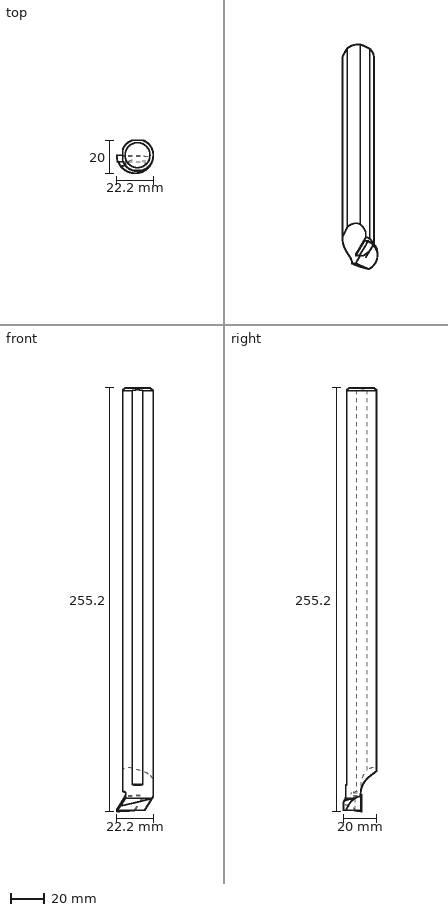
import cadquery as cq
import math


length = 255.2
width = 22.2

shank_diameter = 19.1
flat_depth = 0.54
chamfer_width = 2.0
chamfer_height = 1.5
front_flat_end = 16.3

insert_angle = 55.0
end_angle = 3.0
relief_angle = 7.0
inscribed_diameter = 9.5
insert_thickness = 4.0
nose_radius = 0.8

head_bottom = 0.8
neck_top = 11.5
flare_top = 8.0
neck_flare = 0.15
flare_angle = 28.0
clearance_diameter = 22.0
heel_top = 9.2

floor_depth = 0.5
gullet_radius = 11.5
gullet_centre_height = 13.5
gullet_tilt = 17.0

notch_x = -7.1
notch_inner_top = 11.5
notch_outer_top = 12.3

margin = 25.5

shank_radius = shank_diameter / 2
flat_distance = shank_radius - flat_depth
clearance_radius = clearance_diameter / 2

nose_reach = width - shank_radius

flare_top_radius = shank_radius + neck_flare

lead_angle = end_angle + insert_angle
insert_side = inscribed_diameter / math.sin(math.radians(insert_angle))


def direction(angle):
    """Unit vector (x, z) at an angle above the +X axis."""
    return math.cos(math.radians(angle)), math.sin(math.radians(angle))


def along(start, angle, distance):
    """Point (x, z) reached from a start point."""
    dx, dz = direction(angle)
    return start[0] + distance * dx, start[1] + distance * dz


nose_centre = (nose_radius - nose_reach, nose_radius)
corner_setback = nose_radius / math.sin(math.radians(insert_angle / 2))
insert_corner = along(nose_centre, end_angle + insert_angle / 2, -corner_setback)


def rounded_rhombus():
    """Rhombus through the centres of the corner rounds, grown by the nose radius."""
    inner_inset = 2 * nose_radius / math.sin(math.radians(insert_angle))
    inner_side = insert_side - inner_inset
    toe = along(nose_centre, end_angle, inner_side)
    far = along(toe, lead_angle, inner_side)
    heel = along(nose_centre, lead_angle, inner_side)
    return cq.Workplane("XZ").polyline([nose_centre, toe, far, heel]).close().offset2D(nose_radius)


def make_insert():
    """Rhombus with rounded corners, its rake face on Y = 0, narrowing toward -Y."""
    return rounded_rhombus().extrude(insert_thickness, taper=relief_angle)


def bar_blank():
    """Revolved shank with a chamfered top and a head flaring out below it."""
    flare_slope = math.tan(math.radians(flare_angle))
    head_radius = flare_top_radius + (flare_top - head_bottom) * flare_slope
    return (
        cq.Workplane("XZ")
        .moveTo(0, head_bottom)
        .lineTo(0, length)
        .lineTo(shank_radius - chamfer_width, length)
        .lineTo(shank_radius, length - chamfer_height)
        .lineTo(shank_radius, neck_top)
        .lineTo(flare_top_radius, flare_top)
        .lineTo(head_radius, head_bottom)
        .close()
        .revolve(360, (0, 0, 0), (0, 1, 0))
    )


def clearance_cutter():
    """Trims the neck and flare to an upright cylinder that touches the shank at +X."""
    return (
        cq.Workplane("XY")
        .circle(margin)
        .moveTo(shank_radius - clearance_radius, 0)
        .circle(clearance_radius)
        .extrude(neck_top)
    )


def flat_cutter(turn, bottom):
    """Flat facing -Y with a 45 degree run-out at its lower end, turned about Z."""
    profile = [
        (-flat_distance, bottom),
        (-flat_distance - margin, bottom - margin),
        (-flat_distance - margin, length),
        (-flat_distance, length),
    ]
    cutter = cq.Workplane("YZ").polyline(profile).close().extrude(margin, both=True)
    return cutter.rotate((0, 0, 0), (0, 0, 1), turn)


def gullet_cutter():
    """Opens the head's +Y side down to a floor, with a tilted round run-out at the top."""
    runout = (
        cq.Workplane("YZ")
        .moveTo(-floor_depth, gullet_centre_height - margin)
        .lineTo(-floor_depth, gullet_centre_height)
        .tangentArcPoint(
            (gullet_radius - floor_depth, gullet_centre_height + gullet_radius), relative=False
        )
        .lineTo(margin, gullet_centre_height + gullet_radius)
        .lineTo(margin, gullet_centre_height - margin)
        .close()
        .extrude(margin, both=True)
    )
    return runout.rotate((0, 0, gullet_centre_height), (0, 1, gullet_centre_height), gullet_tilt)


def flank_cutter():
    """Relieves the head flush with the insert's leading flank, up to the notch face."""
    lean = math.radians(relief_angle)
    edge_x, edge_z = direction(lead_angle)
    flank = cq.Plane(
        origin=(insert_corner[0], 0, insert_corner[1]),
        xDir=(edge_x, 0, edge_z),
        normal=(-edge_z * math.cos(lean), -math.sin(lean), edge_x * math.cos(lean)),
    )
    outside = (
        cq.Workplane(flank)
        .center((insert_side - margin) / 2, 0)
        .rect(insert_side + margin, 2 * margin)
        .extrude(margin)
    )
    beside_notch = cq.Workplane("YZ", origin=(notch_x, 0, 0)).rect(2 * margin, 2 * margin).extrude(-margin)
    return outside.intersect(beside_notch)


def notch_cutter():
    """Sloped-roof notch above the leading corner of the insert."""
    notch_bottom = insert_corner[1] + (notch_x - insert_corner[0]) * math.tan(math.radians(lead_angle))
    profile = [
        (notch_x, notch_bottom),
        (notch_x, notch_inner_top),
        (-flat_distance, notch_outer_top),
        (-clearance_radius, notch_outer_top),
        (-clearance_radius, notch_bottom),
    ]
    return cq.Workplane("XZ").polyline(profile).close().extrude(margin, both=True)


def heel_cutter():
    """Slants the +X side of the head parallel to the leading edge."""
    heel_bottom = shank_radius - heel_top / math.tan(math.radians(lead_angle))
    profile = [(shank_radius, heel_top), (heel_bottom, 0), (margin, 0), (margin, heel_top)]
    return cq.Workplane("XZ").polyline(profile).close().extrude(margin, both=True)


def make_bar(insert):
    """Bar with three flats, a shaped head and a pocket that fits the insert."""
    bar = bar_blank().cut(clearance_cutter())
    bar = bar.cut(flat_cutter(0, front_flat_end))
    for turn in (-90, 180):
        bar = bar.cut(flat_cutter(turn, notch_outer_top))
    for cutter in (gullet_cutter(), flank_cutter(), notch_cutter(), heel_cutter()):
        bar = bar.cut(cutter)
    return bar.cut(insert).solids()


insert = make_insert()
bar = make_bar(insert)
result = cq.Compound.makeCompound([bar.val(), insert.val()])